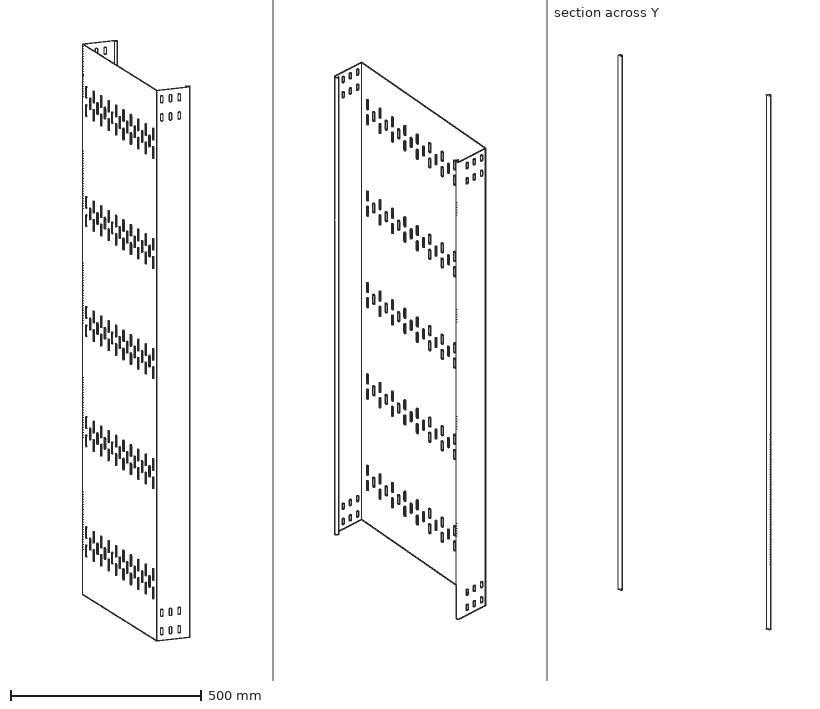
import cadquery as cq


length = 1500.0
width = length / 3
depth = 98.0
thickness = 2.0
curl_radius = 5.5
curl_lip = 5.0

band_count = 5
band_pitch = length / band_count
column_count = 10
column_pitch = width / column_count
slots_per_pair = 2
pair_spacing = column_pitch
web_slot_width = 7.0
web_slot_travel = column_pitch / 2
web_slot_length = web_slot_travel + web_slot_width

wall_slot_width = 7.0
wall_slot_travel = 13.0
wall_slot_length = wall_slot_travel + wall_slot_width
wall_column_count = 3
wall_column_pitch = column_pitch / 2
first_wall_column = 15.0
wall_row_count = 2
wall_row_pitch = column_pitch
first_wall_row = column_pitch / 2


def wall_with_curl(side):
    """Side wall (side is -1 or 1) ending in a half-round inward curl with a short lip."""
    outer_x = side * width / 2
    inner_x = outer_x - side * thickness
    center_x = outer_x - side * curl_radius
    tip_x = center_x - side * curl_radius
    lip_outer_x = tip_x + side * thickness
    center_y = depth - curl_radius
    lip_y = center_y - curl_lip
    return (
        cq.Workplane("XY")
        .moveTo(outer_x, 0)
        .lineTo(outer_x, center_y)
        .threePointArc((center_x, depth), (tip_x, center_y))
        .lineTo(tip_x, lip_y)
        .lineTo(lip_outer_x, lip_y)
        .lineTo(lip_outer_x, center_y)
        .threePointArc((center_x, depth - thickness), (inner_x, center_y))
        .lineTo(inner_x, 0)
        .close()
        .extrude(length)
    )


def channel():
    """Flat web joined to both side walls."""
    web = cq.Workplane("XY").box(width, thickness, length, centered=(True, False, False))
    return web.union(wall_with_curl(-1)).union(wall_with_curl(1))


def centered_positions(count, pitch):
    """Evenly spaced positions, symmetric about zero."""
    return [(i - (count - 1) / 2) * pitch for i in range(count)]


def web_slots():
    """Cutters for the web: paired slots with single slots staggered between them."""
    points = []
    for band in range(band_count):
        band_z = (band + 0.5) * band_pitch
        for x in centered_positions(column_count, column_pitch):
            points += [(x, band_z + dz) for dz in centered_positions(slots_per_pair, pair_spacing)]
        points += [(x, band_z) for x in centered_positions(column_count - 1, column_pitch)]
    return (
        cq.Workplane("XZ", origin=(0, thickness, 0))
        .pushPoints(points)
        .slot2D(web_slot_length, web_slot_width, 90)
        .extrude(thickness)
    )


def wall_slots():
    """Cutters running across the channel through both walls."""
    columns = [first_wall_column + i * wall_column_pitch for i in range(wall_column_count)]
    bottom_rows = [first_wall_row + i * wall_row_pitch for i in range(wall_row_count)]
    top_rows = [length - z for z in bottom_rows]
    return (
        cq.Workplane("YZ", origin=(-width / 2, 0, 0))
        .pushPoints([(y, z) for y in columns for z in bottom_rows + top_rows])
        .slot2D(wall_slot_length, wall_slot_width, 90)
        .extrude(width)
    )


result = channel().cut(web_slots()).cut(wall_slots())